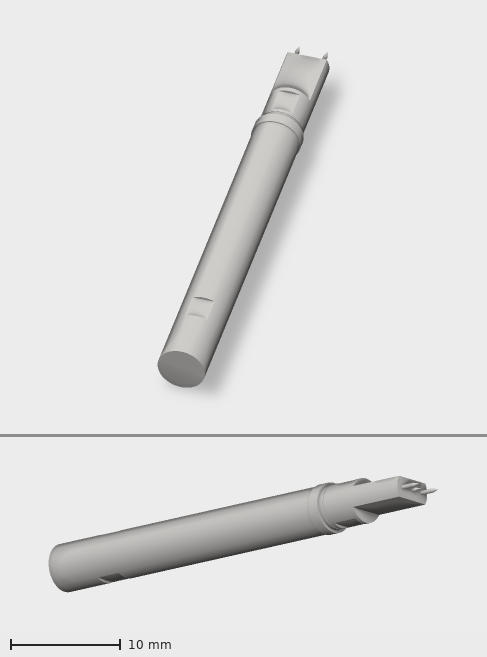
import cadquery as cq

ALONG_Y = cq.Vector(0, 1, 0)

BARREL_DIAMETER = 4.5
COLLAR_DIAMETER = 4.7
STEM_DIAMETER = 4.2
COLLAR_START = 31.45
COLLAR_END = 32.5
STEM_END = 41.98

GROOVE_START = 32.95
GROOVE_WIDTH = 0.15
GROOVE_DEPTH = 0.05

TONGUE_START = 36.4
TONGUE_THICKNESS = 2.0

FLAT_LENGTH = 2.5
BARREL_FLAT_START = 4.95
BARREL_FLAT_SPAN = 3.95
STEM_FLAT_START = 33.45
STEM_FLAT_SPAN = 3.65

PIN_DIAMETER = 0.4
PIN_SPACING = 1.3
PIN_TIP_LENGTH = 0.7
SIDE_PIN_END = 44.0
CENTRE_PIN_END = 43.05
PIN_EMBED = 0.45


def rod(start, end, diameter, x=0):
    """Solid cylinder along Y from start to end."""
    axis_start = cq.Vector(x, start, 0)
    cylinder = cq.Solid.makeCylinder(diameter / 2, end - start, axis_start, ALONG_Y)
    return cq.Workplane(cylinder)


def outside_span(start, end, span):
    """Two blocks that leave only the given height in Z between start and end."""
    length = end - start
    middle = (start + end) / 2
    block = cq.Workplane().box(2 * COLLAR_DIAMETER, length, COLLAR_DIAMETER)
    offset = (span + COLLAR_DIAMETER) / 2
    upper = block.translate((0, middle, offset))
    lower = block.translate((0, middle, -offset))
    return upper.union(lower)


def pin(x, end):
    """Round pin with a conical point."""
    shoulder = end - PIN_TIP_LENGTH
    shank = rod(STEM_END - PIN_EMBED, shoulder, PIN_DIAMETER, x)
    tip_base = cq.Vector(x, shoulder, 0)
    tip = cq.Solid.makeCone(PIN_DIAMETER / 2, 0, PIN_TIP_LENGTH, tip_base, ALONG_Y)
    return shank.union(cq.Workplane(tip))


body = rod(0, COLLAR_START, BARREL_DIAMETER)
body = body.union(rod(COLLAR_START, COLLAR_END, COLLAR_DIAMETER))
body = body.union(rod(COLLAR_END, STEM_END, STEM_DIAMETER))

groove_end = GROOVE_START + GROOVE_WIDTH
groove = rod(GROOVE_START, groove_end, COLLAR_DIAMETER)
groove = groove.cut(rod(GROOVE_START, groove_end, STEM_DIAMETER - 2 * GROOVE_DEPTH))
body = body.cut(groove)

body = body.cut(outside_span(TONGUE_START, STEM_END, TONGUE_THICKNESS))
body = body.cut(outside_span(BARREL_FLAT_START, BARREL_FLAT_START + FLAT_LENGTH, BARREL_FLAT_SPAN))
body = body.cut(outside_span(STEM_FLAT_START, STEM_FLAT_START + FLAT_LENGTH, STEM_FLAT_SPAN))

for side_x in (-PIN_SPACING, PIN_SPACING):
    body = body.union(pin(side_x, SIDE_PIN_END))
body = body.union(pin(0, CENTRE_PIN_END))

result = body